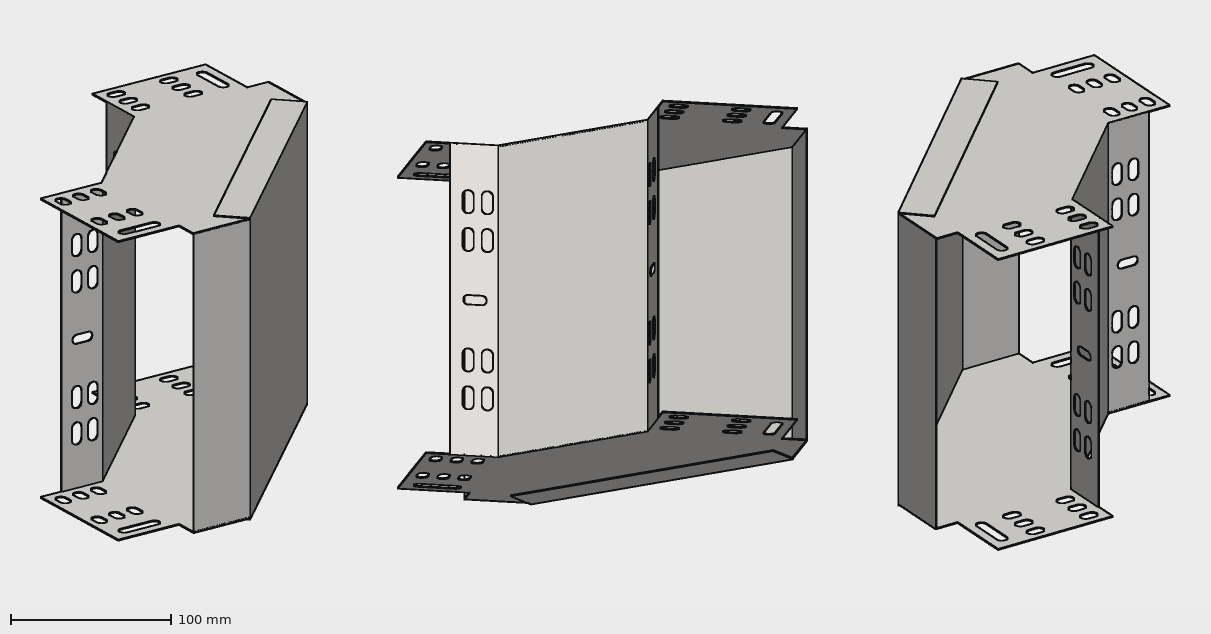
import cadquery as cq
import math

SIZE = 226.4
HEIGHT = 203.3
SHEET = 0.8
TRAY_TOP = HEIGHT / 2 - SHEET

ARM_LENGTH = 46.0
INNER_EDGE = 124.5
OUTER_EDGE = 210.0
BACK_EDGE = SIZE - SHEET
WING_START = 15.5

CORNER = 88.5
FLAP_DEPTH = 23.0
FLAP_STEP = FLAP_DEPTH / math.sqrt(2)
BEND_ANGLE = 45
MITRE = SHEET * math.tan(math.radians(BEND_ANGLE / 2))

PLATE_SLOT_LENGTH = 12.0
PLATE_SLOT_WIDTH = 7.2
PLATE_SLOT_X = [8.8, 22.2, 35.5]
PLATE_SLOT_Y = [136.5, 176.3]
LONG_SLOT_LENGTH = 30.0
LONG_SLOT_X = 23.0
LONG_SLOT_Y = 199.7

WING_SLOT_LENGTH = 15.0
WING_SLOT_WIDTH = 7.2
WING_SLOT_X = [27.0, 39.2]
WING_SLOT_Z = [-63.4, -39.0, 39.0, 63.4]
MIDDLE_SLOT_X = 31.2
MIDDLE_SLOT_WIDTH = 6.0


def prism(half_outline, bottom, top):
    """Upright prism over a half outline and its mirror image about the line X = Y."""
    mirrored = [(y, x) for x, y in reversed(half_outline)]
    plan = cq.Workplane("XY").workplane(offset=bottom).polyline(half_outline + mirrored).close()
    return plan.extrude(top - bottom)


def mirrored_across_diagonal(solid):
    """Mirror image of a solid about the plane X = Y."""
    turned = solid.rotate(cq.Vector(0, 0, 0), cq.Vector(1, 1, 0), 180)
    return turned.mirror("XY")


def plate_slots():
    """Slots through both plates of the arm along X."""
    short_centers = [(x, y) for x in PLATE_SLOT_X for y in PLATE_SLOT_Y]
    base = cq.Workplane("XY").workplane(offset=-HEIGHT / 2)
    short = base.pushPoints(short_centers).slot2D(PLATE_SLOT_LENGTH, PLATE_SLOT_WIDTH, 90).extrude(HEIGHT)
    long = base.center(LONG_SLOT_X, LONG_SLOT_Y).slot2D(LONG_SLOT_LENGTH, PLATE_SLOT_WIDTH).extrude(HEIGHT)
    return short.add(long)


def wing_slots():
    """Slots through the inner wing of the arm along X."""
    centers = [(x, z) for x in WING_SLOT_X for z in WING_SLOT_Z]
    face = cq.Workplane("XZ", origin=(0, INNER_EDGE + SHEET, 0))
    upright = face.pushPoints(centers).slot2D(WING_SLOT_LENGTH, WING_SLOT_WIDTH, 90).extrude(SHEET)
    middle = face.center(MIDDLE_SLOT_X, 0).slot2D(WING_SLOT_LENGTH, MIDDLE_SLOT_WIDTH).extrude(SHEET)
    return upright.add(middle)


def make_tray():
    """Top and bottom plates joined by the inner wall and its two wings."""
    plate_half = [
        (ARM_LENGTH, INNER_EDGE),
        (0, INNER_EDGE),
        (0, OUTER_EDGE),
        (ARM_LENGTH, OUTER_EDGE),
        (ARM_LENGTH, BACK_EDGE),
        (CORNER - MITRE, BACK_EDGE),
    ]
    wall_half = [
        (ARM_LENGTH, INNER_EDGE),
        (WING_START, INNER_EDGE),
        (WING_START, INNER_EDGE + SHEET),
        (ARM_LENGTH + MITRE, INNER_EDGE + SHEET),
    ]
    tray = prism(plate_half, TRAY_TOP - SHEET, TRAY_TOP)
    tray = tray.union(prism(plate_half, -TRAY_TOP, SHEET - TRAY_TOP))
    tray = tray.union(prism(wall_half, -TRAY_TOP, TRAY_TOP))
    for slot in plate_slots().vals() + wing_slots().vals():
        tray = tray.cut(cq.Workplane(slot)).cut(cq.Workplane(mirrored_across_diagonal(slot)))
    return tray


def make_cover():
    """Outer wall around the back of the tray, with a flap over each plate."""
    wall_half = [
        (CORNER - MITRE, BACK_EDGE),
        (ARM_LENGTH, BACK_EDGE),
        (ARM_LENGTH, SIZE),
        (CORNER, SIZE),
    ]
    flap_half = [
        (CORNER - FLAP_STEP, SIZE - FLAP_STEP),
        (CORNER, SIZE),
    ]
    cover = prism(wall_half, -TRAY_TOP, TRAY_TOP)
    cover = cover.union(prism(flap_half, TRAY_TOP, HEIGHT / 2))
    return cover.union(prism(flap_half, -HEIGHT / 2, -TRAY_TOP))


tray = make_tray()
cover = make_cover()
result = cq.Compound.makeCompound([tray.val(), cover.val()])